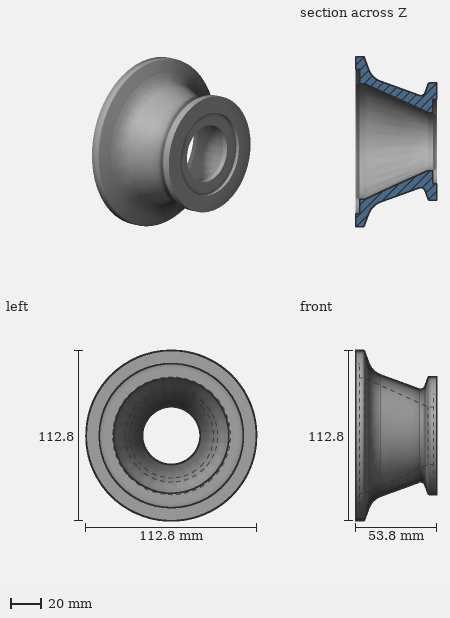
import cadquery as cq
import math

length = 53.8
slope_angle = math.radians(20)

large_flange_diameter = 112.8
large_flange_radius = large_flange_diameter / 2
large_neck_fillet = 12.5
large_recess_diameter = 95.3

small_flange_diameter = 77.9
small_flange_radius = small_flange_diameter / 2
small_neck_fillet = 2.8
small_recess_diameter = 55.6

rim_width = 4.7
rim_fillet = 1.2
recess_depth = 2.5

body_radius_at_face = 46.0

large_bore_diameter = 76.2
small_bore_diameter = 38.1
bore_mouth_depth = 6.0

rim_turn = math.pi / 2 - slope_angle
rim_corner_distance = rim_width + rim_fillet * math.tan(rim_turn / 2)
large_rim_x = rim_corner_distance
small_rim_x = length - rim_corner_distance

slope = math.tan(slope_angle)
large_rim_rise = large_flange_radius - body_radius_at_face
small_rim_rise = small_flange_radius - body_radius_at_face
large_neck_x = (large_rim_x + slope * large_rim_rise) / (1 - slope**2)
small_neck_x = (small_rim_x - slope * small_rim_rise) / (1 + slope**2)


def body_radius(x):
    return body_radius_at_face - slope * x


def revolve_outline(points):
    """Revolve an outline of (x, radius) points about the X axis."""
    return cq.Workplane("XY").polyline(points).close().revolve(360, (0, 0, 0), (1, 0, 0))


def round_circle(solid, x, radius, fillet_radius):
    """Round the circular edge that passes through (x, radius)."""
    margin = 0.01
    edge_box = cq.selectors.BoxSelector(
        (x - margin, -radius - margin, -radius - margin),
        (x + margin, radius + margin, radius + margin),
        boundingbox=True,
    )
    return solid.edges(edge_box).fillet(fillet_radius)


def make_outside():
    large_rim = (large_rim_x, large_flange_radius)
    large_neck = (large_neck_x, body_radius(large_neck_x))
    small_neck = (small_neck_x, body_radius(small_neck_x))
    small_rim = (small_rim_x, small_flange_radius)
    solid = revolve_outline([
        (0, 0),
        (0, large_flange_radius),
        large_rim,
        large_neck,
        small_neck,
        small_rim,
        (length, small_flange_radius),
        (length, 0),
    ])
    solid = round_circle(solid, *large_neck, large_neck_fillet)
    solid = round_circle(solid, *small_neck, small_neck_fillet)
    solid = round_circle(solid, *large_rim, rim_fillet)
    return round_circle(solid, *small_rim, rim_fillet)


def make_bore():
    large_bore_radius = large_bore_diameter / 2
    small_bore_radius = small_bore_diameter / 2
    return revolve_outline([
        (0, 0),
        (0, large_bore_radius),
        (bore_mouth_depth, large_bore_radius),
        (length - bore_mouth_depth, small_bore_radius),
        (length, small_bore_radius),
        (length, 0),
    ])


def make_recess(face_x, diameter):
    """Flat gasket seat that starts at face_x and runs toward +X."""
    return cq.Workplane("YZ", origin=(face_x, 0, 0)).circle(diameter / 2).extrude(recess_depth)


result = (
    make_outside()
    .cut(make_bore())
    .cut(make_recess(0, large_recess_diameter))
    .cut(make_recess(length - recess_depth, small_recess_diameter))
)